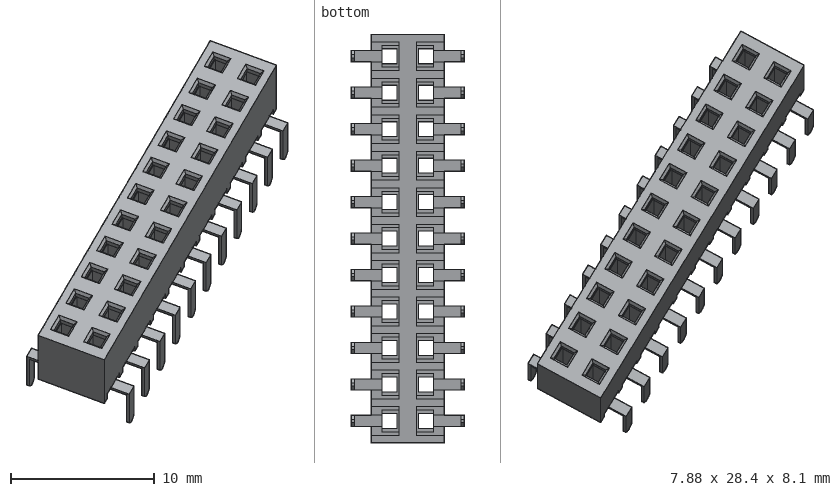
import cadquery as cq

contacts_per_row = 11
pitch = 2.54
total_height = 8.1
total_width = 7.88

body_length = 28.45
body_width = 5.1
body_height = 5.03

mouth_size = 1.4
mouth_depth = 0.2
throat_size = 1.02
ledge_depth = 0.57
cavity_length = 1.5
cavity_clearance = 0.15

notch_length = 2.0
notch_height = 0.5

sheet = 0.23
pin_width = 0.8
tip_taper = 0.28
blade_drop = 0.2

body_bottom = total_height - body_height
throat_top = total_height - mouth_depth
ledge_z = total_height - ledge_depth
strip_top = body_bottom + notch_height
strip_bottom = strip_top - sheet

row_x = pitch / 2
throat_inner_x = row_x - throat_size / 2
throat_outer_x = row_x + throat_size / 2
cavity_inner_x = throat_inner_x - cavity_clearance
cavity_outer_x = throat_outer_x + sheet
leg_outer_x = total_width / 2

station_y = [(i - (contacts_per_row - 1) / 2) * pitch for i in range(contacts_per_row)]


def block(x0, x1, y_center, y_size, z0, z1):
    """Axis-aligned block, centred on y_center along Y."""
    return (
        cq.Workplane("XY", origin=(x0, y_center, z0))
        .box(x1 - x0, y_size, z1 - z0, centered=(False, True, False))
    )


def socket_void(y):
    """Empty space of one +X socket, including the notch at its foot."""
    mouth = (
        cq.Workplane("XY", origin=(row_x, y, total_height))
        .rect(mouth_size, mouth_size)
        .workplane(offset=-mouth_depth)
        .rect(throat_size, throat_size)
        .loft(ruled=True)
    )
    throat = block(throat_inner_x, throat_outer_x, y, throat_size, ledge_z, throat_top)
    cavity = block(cavity_inner_x, cavity_outer_x, y, cavity_length, body_bottom, ledge_z)
    notch = block(cavity_inner_x, body_width / 2, y, notch_length, body_bottom, strip_top)
    return mouth.union(throat).union(cavity).union(notch)


def contact(y):
    """One +X contact: blade on the outer cavity wall, strip along the notch roof, leg with tapered tip."""
    blade = block(throat_outer_x, cavity_outer_x, y, cavity_length, strip_top, ledge_z - blade_drop)
    strip = block(throat_outer_x, leg_outer_x, y, pin_width, strip_bottom, strip_top)
    leg = block(leg_outer_x - sheet, leg_outer_x, y, pin_width, 0, strip_top)
    leg = leg.edges("|X and <Z").chamfer(tip_taper)
    return blade.union(strip).union(leg)


housing = block(-body_width / 2, body_width / 2, 0, body_length, body_bottom, total_height)
for y in station_y:
    void = socket_void(y)
    housing = housing.cut(void).cut(void.mirror("YZ"))

result = housing
for y in station_y:
    pin = contact(y)
    result = result.union(pin).union(pin.mirror("YZ"))